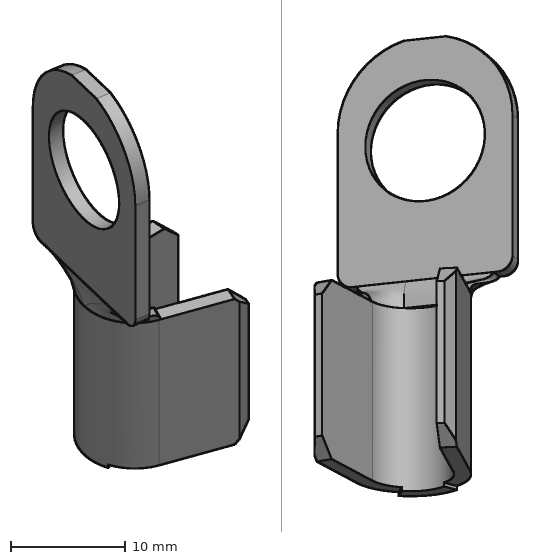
import cadquery as cq
import math


SHEET = 1.5

TONGUE_WIDTH = 16.26
HOLE_DIAMETER = 11.1
TONGUE_TOP_Z = 9.38
TONGUE_BOTTOM_Z = -12.75
TOP_FLAT_WIDTH = 3.9
TONGUE_CORNER_RADIUS = 1.35

TOTAL_HEIGHT = 41.53
TOTAL_DEPTH = 13.46
BARREL_RADIUS = 5.33
BARREL_TOP_Z = -15.35
LIP_HEIGHT = 0.35
LIP_HALF_ANGLE = 30.6
WING_FLARE = 10.0
WING_CORNER_CHAMFER = 1.7
WING_BEVEL_LENGTH = 1.25
WING_TIP_THICKNESS = 0.7

NECK_OVERLAP = 0.2
NECK_STEP = 0.1
NECK_BACK_FLAT = 1.8
NECK_FRONT_RIDGE = 0.1
NECK_TOP_FRONT_FLAT = 3.0
NECK_TOP_HALF_WIDTH = 6.4
NECK_TOP_BACK_RADIUS = 300.0

TROUGH_Z = -14.6
TROUGH_FRONT_FLAT = 0.8
TROUGH_FRONT_END = (5.35, 3.95)
TROUGH_BACK_END = (4.3, 4.4)
TROUGH_BACK_RADIUS = 4.5

SPREAD_Z = -13.5
SPREAD_FRONT_FLAT = 2.5
SPREAD_FRONT_END = (6.1, 1.15)
SPREAD_BACK_Y = 1.8
SPREAD_BACK_END = (5.75, 2.1)
SPREAD_BACK_RADIUS = 40.0

BOTTOM_Z = TONGUE_TOP_Z - TOTAL_HEIGHT
BARREL_BOTTOM_Z = BOTTOM_Z + LIP_HEIGHT
BARREL_HEIGHT = BARREL_TOP_Z - BARREL_BOTTOM_Z
BORE_RADIUS = BARREL_RADIUS - SHEET

FLARE = math.radians(WING_FLARE)
BORE_TANGENT_Y = BARREL_RADIUS - BORE_RADIUS * math.sin(FLARE)
WING_LENGTH = (TOTAL_DEPTH - BORE_TANGENT_Y) / math.cos(FLARE)


def wing_point(along, radius, side):
    """Point on a wing: distance along it from the barrel arc, and radius of its face."""
    x = radius * math.cos(FLARE) + along * math.sin(FLARE)
    y = BARREL_RADIUS - radius * math.sin(FLARE) + along * math.cos(FLARE)
    return side * x, y


def make_tongue():
    half_width = TONGUE_WIDTH / 2
    half_flat = TOP_FLAT_WIDTH / 2
    arc_center_z = TONGUE_TOP_Z - math.sqrt(half_width**2 - half_flat**2)
    arc_mid = half_width * math.sqrt(0.5)
    tongue = (
        cq.Workplane("XZ")
        .moveTo(-half_width, TONGUE_BOTTOM_Z)
        .lineTo(half_width, TONGUE_BOTTOM_Z)
        .lineTo(half_width, arc_center_z)
        .threePointArc((arc_mid, arc_center_z + arc_mid), (half_flat, TONGUE_TOP_Z))
        .lineTo(-half_flat, TONGUE_TOP_Z)
        .threePointArc((-arc_mid, arc_center_z + arc_mid), (-half_width, arc_center_z))
        .close()
        .extrude(-SHEET)
    )
    tongue = tongue.edges("|Y and <Z").fillet(TONGUE_CORNER_RADIUS)
    hole = cq.Workplane("XZ").circle(HOLE_DIAMETER / 2).extrude(-SHEET)
    return tongue.cut(hole)


def make_barrel():
    bevel_start = WING_LENGTH - WING_BEVEL_LENGTH
    tip_radius = BORE_RADIUS + WING_TIP_THICKNESS
    return (
        cq.Workplane("XY", origin=(0, 0, BARREL_BOTTOM_Z))
        .moveTo(*wing_point(0, BARREL_RADIUS, -1))
        .threePointArc((0, 0), wing_point(0, BARREL_RADIUS, 1))
        .lineTo(*wing_point(bevel_start, BARREL_RADIUS, 1))
        .lineTo(*wing_point(WING_LENGTH, tip_radius, 1))
        .lineTo(*wing_point(WING_LENGTH, BORE_RADIUS, 1))
        .lineTo(*wing_point(0, BORE_RADIUS, 1))
        .threePointArc((0, SHEET), wing_point(0, BORE_RADIUS, -1))
        .lineTo(*wing_point(WING_LENGTH, BORE_RADIUS, -1))
        .lineTo(*wing_point(WING_LENGTH, tip_radius, -1))
        .lineTo(*wing_point(bevel_start, BARREL_RADIUS, -1))
        .close()
        .extrude(BARREL_HEIGHT)
    )


def make_wing_corner_cutter(side):
    """Triangular prisms across one wing, at the top and bottom corners of its tip."""
    tip_x, tip_y = wing_point(WING_LENGTH, BORE_RADIUS, side)
    plane = cq.Plane(
        origin=(tip_x, tip_y, 0),
        xDir=(side * math.sin(FLARE), math.cos(FLARE), 0),
        normal=(math.cos(FLARE), -side * math.sin(FLARE), 0),
    )
    up = plane.yDir.z
    cutter = cq.Workplane(plane)
    for corner_z, inward in ((BARREL_TOP_Z, -1), (BARREL_BOTTOM_Z, 1)):
        cutter = (
            cutter.moveTo(0, up * corner_z)
            .lineTo(-WING_CORNER_CHAMFER, up * corner_z)
            .lineTo(0, up * (corner_z + inward * WING_CORNER_CHAMFER))
            .close()
        )
    return cutter.extrude(2 * SHEET, both=True)


def make_lip():
    """Thin sector of the barrel wall left standing below its lower edge."""
    angle = math.radians(LIP_HALF_ANGLE)

    def wall_point(radius, side):
        return side * radius * math.sin(angle), BARREL_RADIUS - radius * math.cos(angle)

    return (
        cq.Workplane("XY", origin=(0, 0, BOTTOM_Z))
        .moveTo(*wall_point(BARREL_RADIUS, -1))
        .threePointArc((0, 0), wall_point(BARREL_RADIUS, 1))
        .lineTo(*wall_point(BORE_RADIUS, 1))
        .threePointArc((0, SHEET), wall_point(BORE_RADIUS, -1))
        .close()
        .extrude(LIP_HEIGHT)
    )


def neck_section(z, front, back):
    """Sheet section of the neck at height z.

    The front face is (half width of its flat, y of the flat, end point) with arcs tangent
    to the flat. The back face has the radius of its arcs as a fourth value.
    """
    front_flat, front_y, (front_end_x, front_end_y) = front
    back_flat, back_y, (back_end_x, back_end_y), back_radius = back
    run = front_end_x - front_flat
    rise = front_end_y - front_y
    front_radius = (run**2 + rise**2) / (2 * rise)
    return (
        cq.Workplane("XY", origin=(0, 0, z))
        .moveTo(-front_end_x, front_end_y)
        .radiusArc((-front_flat, front_y), -front_radius)
        .lineTo(front_flat, front_y)
        .radiusArc((front_end_x, front_end_y), -front_radius)
        .lineTo(back_end_x, back_end_y)
        .radiusArc((back_flat, back_y), back_radius)
        .lineTo(-back_flat, back_y)
        .radiusArc((-back_end_x, back_end_y), back_radius)
        .close()
        .wire()
        .val()
    )


def make_neck():
    """Smooth transition that flattens the barrel's trough into the tongue's lower edge."""
    ridge_y = BARREL_RADIUS - math.sqrt(BARREL_RADIUS**2 - NECK_FRONT_RIDGE**2)
    chord_y = BARREL_RADIUS - math.sqrt(BORE_RADIUS**2 - NECK_BACK_FLAT**2)
    barrel_front_end = wing_point(NECK_OVERLAP, BARREL_RADIUS, 1)
    barrel_back_end = wing_point(NECK_OVERLAP, BORE_RADIUS, 1)
    top_front_y = NECK_STEP / 4
    top_back_y = SHEET - NECK_STEP / 4
    top_front_end = (NECK_TOP_HALF_WIDTH, NECK_STEP / 2)
    top_back_end = (NECK_TOP_HALF_WIDTH, top_back_y)
    sections = [
        neck_section(
            BARREL_TOP_Z,
            (NECK_FRONT_RIDGE, ridge_y, barrel_front_end),
            (NECK_BACK_FLAT, chord_y, barrel_back_end, BORE_RADIUS),
        ),
        neck_section(
            TROUGH_Z,
            (TROUGH_FRONT_FLAT, NECK_STEP, TROUGH_FRONT_END),
            (NECK_BACK_FLAT, chord_y, TROUGH_BACK_END, TROUGH_BACK_RADIUS),
        ),
        neck_section(
            SPREAD_Z,
            (SPREAD_FRONT_FLAT, NECK_STEP, SPREAD_FRONT_END),
            (NECK_BACK_FLAT, SPREAD_BACK_Y, SPREAD_BACK_END, SPREAD_BACK_RADIUS),
        ),
        neck_section(
            TONGUE_BOTTOM_Z,
            (NECK_TOP_FRONT_FLAT, top_front_y, top_front_end),
            (NECK_BACK_FLAT, top_back_y, top_back_end, NECK_TOP_BACK_RADIUS),
        ),
    ]
    return cq.Workplane(cq.Solid.makeLoft(sections))


barrel = make_barrel()
for wing_side in (-1, 1):
    barrel = barrel.cut(make_wing_corner_cutter(wing_side))

result = make_tongue().union(make_neck()).union(barrel).union(make_lip())